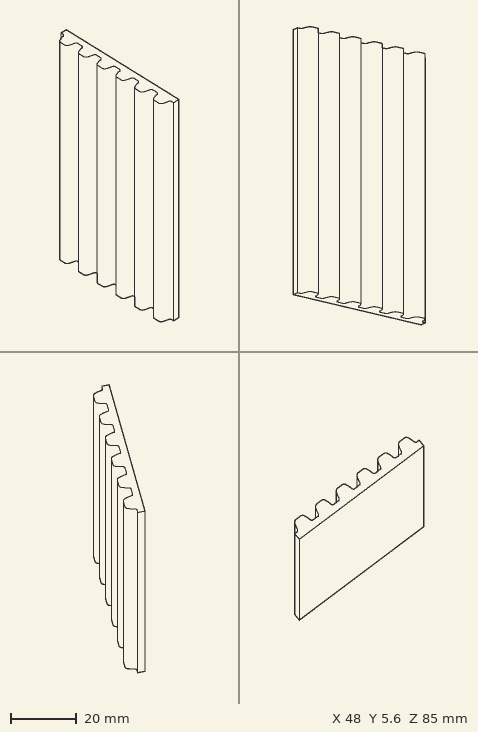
import cadquery as cq
import math

length = 85.0
width = 48.0
thickness = 5.6
tooth_count = 6
tooth_height = 3.3
tooth_root_width = 5.1
tooth_tip_width = 3.1
flank_bulge = 0.2
root_radius = 0.7
tip_radius = 1.0

pitch = width / tooth_count
tip_y = -thickness / 2
land_y = tip_y + tooth_height
back_y = thickness / 2


def add_tooth(outline, center_x):
    """Append one sharp-cornered tooth with bowed flanks, from left to right."""
    half_root = tooth_root_width / 2
    half_tip = tooth_tip_width / 2
    flank_run = half_root - half_tip
    flank_chord = math.hypot(flank_run, tooth_height)
    bow_x = (half_root + half_tip) / 2 + flank_bulge * tooth_height / flank_chord
    bow_y = (land_y + tip_y) / 2 - flank_bulge * flank_run / flank_chord
    return (
        outline.lineTo(center_x - half_root, land_y)
        .threePointArc((center_x - bow_x, bow_y), (center_x - half_tip, tip_y))
        .lineTo(center_x + half_tip, tip_y)
        .threePointArc((center_x + bow_x, bow_y), (center_x + half_root, land_y))
    )


def sharp_strip():
    """Extrude the complete strip section along Z, with sharp tooth corners."""
    outline = cq.Workplane("XY").moveTo(-width / 2, back_y).lineTo(-width / 2, land_y)
    for index in range(tooth_count):
        center_x = (index + 0.5) * pitch - width / 2
        outline = add_tooth(outline, center_x)
    outline = outline.lineTo(width / 2, land_y).lineTo(width / 2, back_y).close()
    return outline.extrude(length / 2, both=True)


def tooth_edges(y):
    """Select the tooth edges along Z at depth y, leaving out the strip's outer sides."""
    tolerance = 0.1
    side_clearance = 0.3
    x_limit = width / 2 - side_clearance
    return cq.selectors.BoxSelector(
        (-x_limit, y - tolerance, -length), (x_limit, y + tolerance, length)
    )


result = sharp_strip()
result = result.edges("|Z").edges(tooth_edges(tip_y)).fillet(tip_radius)
result = result.edges("|Z").edges(tooth_edges(land_y)).fillet(root_radius)